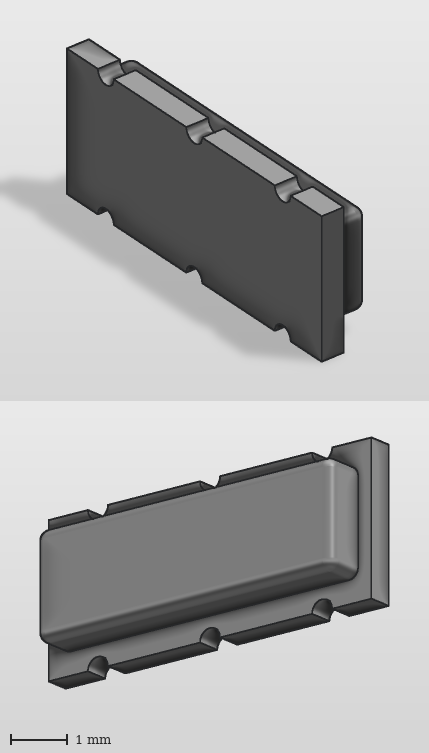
import cadquery as cq

plate_length = 7.2
plate_height = 3.0
plate_thickness = 0.5
total_depth = 1.25

lid_length = 6.6
lid_height = 2.1
lid_depth = total_depth - plate_thickness
lid_radius = 0.2

notch_radius = 0.22
notch_spacing = 2.5
notches_per_edge = 3


def make_plate():
    plate = cq.Workplane("XY").box(
        plate_length, plate_thickness, plate_height, centered=(True, False, True)
    )
    notches = (
        cq.Workplane("XZ")
        .rarray(notch_spacing, plate_height, notches_per_edge, 2)
        .circle(notch_radius)
        .extrude(-plate_thickness)
    )
    return plate.cut(notches)


def make_lid():
    lid = cq.Workplane("XY").box(
        lid_length, lid_depth, lid_height, centered=(True, False, True)
    )
    lid = lid.edges("|Y or >Y").fillet(lid_radius)
    return lid.translate((0, plate_thickness, 0))


result = make_plate().union(make_lid())